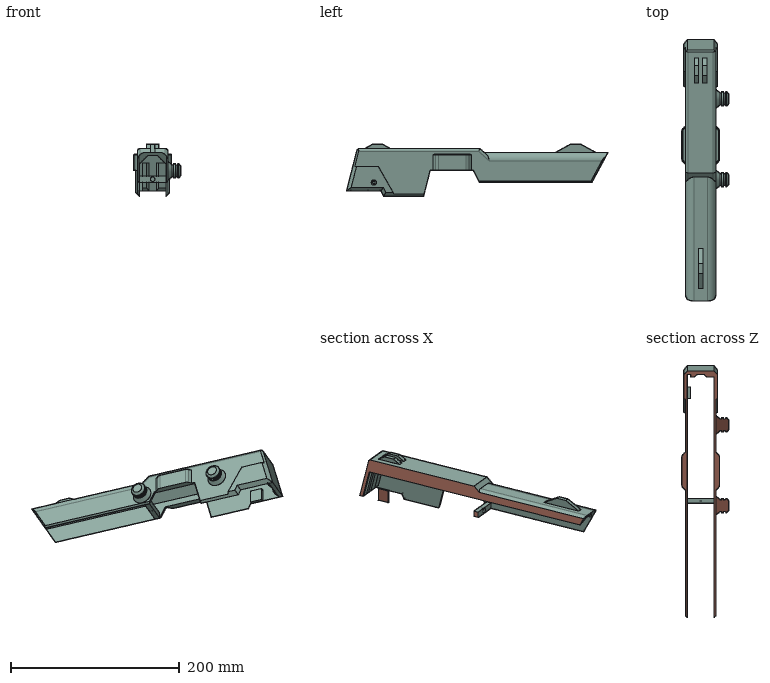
import cadquery as cq
import math


total_width = 55.75
total_length = 310.17
total_height = 61.84

rail_top = 56.75
barrel_top = 52.15
barrel_bottom = 16.6
notch_top = 30.6
rear_bottom = 6.2

barrel_bottom_front = 19.0
barrel_bottom_rear = 152.5
notch_front = 159.8
notch_rear = 210.8
grip_front = 218.6
grip_rear = 266.2
step_rear = 269.2
rail_front = 152.0
rail_slope = 1.1
half_overlap = 10.0

inner_half = 15.75
outer_half = 18.2
pad_half = 20.2
cheek_half = 22.45

rear_slope = (grip_front - notch_rear) / notch_top
rear_wall = 5.0

edge_reach = 0.1
edge_chamfer = pad_half - inner_half
barrel_chamfer = 1.8
barrel_fillet = 10.3
rail_fillet = 3.4
rear_top_bevel_run = 2.6
rear_top_bevel_drop = 1.8

cavity_floor = -1.0
cavity_top = 48.3
cavity_chamfer = 10.0

pad_top = 35.3
pad_top_front = 272.3
pad_bottom_front = 252.2

cheek_front = 162.1
cheek_rear = 207.4
cheek_top = 50.4
cheek_corner = cheek_half - outer_half
cheek_corner_fillet = 5.2
cheek_top_chamfer = 1.3

sight_crest = 12.2
front_sight_base = 47.6
rear_sight_base = 29.4
sight_width = 5.2
front_sight_y = 38.5
rear_sight_y = 273.2
rear_sight_gap = 4.6

rib_top = 39.5
rib_depth = 2.7
rib_channel_half = 4.4
left_rib_outer = 11.9

knob_places = (144.0, 239.6)
knob_z = 30.2
knob_end = total_width - cheek_half
knob_base_d = 22.4
knob_neck_d = 14.34
knob_ring_d = 17.33
knob_tip_d = 11.3
knob_cone_end = 23.2
ring_1_start = 24.6
ring_1_end = 27.0
ring_2_start = 28.8
ring_2_end = 30.9

bar_height = 7.3
bar_depth = 6.0
bar_hole_d = 5.25
bar_hole_depth = 3.0

latch_y = 277.6
latch_z = 16.3
latch_pin_d = 6.25
latch_socket_d = 3.15
latch_socket_depth = 1.5
latch_recess = 2.0
latch_thickness = 3.8
latch_length = 14.0
latch_top = 22.0


def side_prism(points, half_width):
    """Extrude a (y, z) outline to both sides of the middle plane."""
    return cq.Workplane("YZ").polyline(points).close().extrude(half_width, both=True)


def rear_y(z):
    """Y of the tilted rear face at a height."""
    return total_length - (z - rear_bottom) * rear_slope


def chamfer_side_edges(body, half_width, size, y_range, z_range):
    """Chamfer the outer side edges whose middles lie in a window of Y and Z."""
    for x in (-half_width, half_width):
        low = (x - edge_reach, y_range[0], z_range[0])
        high = (x + edge_reach, y_range[1], z_range[1])
        body = body.edges(cq.selectors.BoxSelector(low, high)).chamfer(size)
    return body


def rail_envelope():
    """Main width of the rear half, with rounded top edges and the slope down to the barrel."""
    points = [
        (rail_front, rail_top),
        (rail_front - rail_slope * rail_top, 0),
        (total_length, 0),
        (total_length, rail_top),
    ]
    body = side_prism(points, outer_half)
    return body.faces(">Z or <Y").edges("not |X").fillet(rail_fillet)


def rear_half():
    """Solid block of the rail and the grip, with the raised pads on both sides."""
    bevel_z = rail_top - rear_top_bevel_drop
    points = [
        (rail_front, rail_top),
        (rail_front - rail_slope * (rail_top - notch_top), notch_top),
        (notch_rear, notch_top),
        (grip_front, 0),
        (grip_rear, 0),
        (step_rear, rear_bottom),
        (total_length, rear_bottom),
        (rear_y(bevel_z), bevel_z),
        (rear_y(bevel_z) - rear_top_bevel_run, rail_top),
    ]
    body = side_prism(points, pad_half)
    behind_grip_front = (grip_front, total_length)
    body = chamfer_side_edges(body, pad_half, edge_chamfer, behind_grip_front, (0, bevel_z))
    pads = side_prism(
        [
            (pad_top_front, pad_top),
            (pad_bottom_front, 0),
            (total_length, 0),
            (total_length, pad_top),
        ],
        pad_half,
    )
    return body.intersect(rail_envelope().union(pads))


def front_half():
    """Solid block of the barrel, with rounded top edges and a slanted front."""
    overlap_end = notch_front + half_overlap
    points = [
        (0, barrel_top),
        (barrel_bottom_front, barrel_bottom),
        (barrel_bottom_rear, barrel_bottom),
        (notch_front, notch_top),
        (overlap_end, notch_top),
        (overlap_end, barrel_top),
    ]
    body = side_prism(points, outer_half)
    y_range = (0, barrel_bottom_rear)
    z_range = (0, (barrel_top + barrel_bottom) / 2 + edge_reach)
    body = chamfer_side_edges(body, outer_half, barrel_chamfer, y_range, z_range)
    envelope = side_prism(
        [(0, 0), (overlap_end, 0), (overlap_end, barrel_top), (0, barrel_top)], outer_half
    )
    return body.intersect(envelope.edges("|Y and >Z").fillet(barrel_fillet))


def cavity():
    """Space inside the shell, open at the bottom and the front, ending at the tilted rear wall."""
    shoulder = cavity_top - cavity_chamfer
    section = [
        (-inner_half, cavity_floor),
        (-inner_half, shoulder),
        (cavity_chamfer - inner_half, cavity_top),
        (inner_half - cavity_chamfer, cavity_top),
        (inner_half, shoulder),
        (inner_half, cavity_floor),
    ]
    tunnel = cq.Workplane("XZ").polyline(section).close().extrude(-total_length)
    return tunnel.intersect(
        side_prism(
            [
                (0, cavity_floor),
                (rear_y(cavity_floor) - rear_wall, cavity_floor),
                (rear_y(rail_top) - rear_wall, rail_top),
                (0, rail_top),
            ],
            pad_half,
        )
    )


def cheeks():
    """Bevelled blocks on both side walls above the notch."""
    length = cheek_rear - cheek_front
    block = (
        cq.Workplane("XY", origin=(0, cheek_front + length / 2, notch_top))
        .rect(2 * cheek_half, length)
        .extrude(cheek_top - notch_top)
    )
    block = block.edges("|Z").chamfer(cheek_corner)
    rounded = block.faces("<X or >X").edges("|Z").fillet(cheek_corner_fillet)
    return rounded.faces(">Z").edges("<X or >X").chamfer(cheek_top_chamfer)


def sight(x_center, y_center, base_z, base_length):
    """Trapezoid fin standing on a top face."""
    half_crest = sight_crest / 2
    half_base = base_length / 2
    points = [
        (y_center - half_base, base_z),
        (y_center + half_base, base_z),
        (y_center + half_crest, total_height),
        (y_center - half_crest, total_height),
    ]
    return side_prism(points, sight_width / 2).translate((x_center, 0, 0))


def rib(x_channel, x_outer):
    """Rib on the rear wall, bevelled at its lower end and along the central channel."""
    wall_bottom = rear_y(rear_bottom) - rear_wall
    rise = rib_top - rear_bottom
    x_bevel = x_channel + math.copysign(rib_depth, x_outer)
    section = [(x_channel, 0), (x_bevel, -rib_depth), (x_outer, -rib_depth), (x_outer, 0)]
    path_lean = -rear_slope * rise
    bar = (
        cq.Workplane("XY", origin=(0, wall_bottom, rear_bottom))
        .polyline(section)
        .close()
        .sweep(cq.Workplane("YZ").moveTo(wall_bottom, rear_bottom).line(path_lean, rise))
    )
    bevel = side_prism(
        [
            (wall_bottom, rear_bottom),
            (wall_bottom - 2 * rib_depth, rear_bottom),
            (wall_bottom - 2 * rib_depth, rear_bottom + 2 * rib_depth),
        ],
        inner_half,
    )
    return bar.cut(bevel)


def make_housing():
    """Open-bottomed shell with cheek blocks, sights, ribs and the hole for the latch pin."""
    body = rear_half().union(front_half()).union(cheeks()).cut(cavity())
    body = body.union(sight(0, front_sight_y, barrel_top, front_sight_base))
    for side in (-1, 1):
        x_center = side * (rear_sight_gap + sight_width) / 2
        body = body.union(sight(x_center, rear_sight_y, rail_top, rear_sight_base))
    body = body.union(rib(-rib_channel_half, -left_rib_outer))
    body = body.union(rib(rib_channel_half, inner_half))
    pin_hole = cq.Workplane("YZ", origin=(-pad_half, latch_y, latch_z)).circle(latch_pin_d / 2)
    return body.cut(pin_hole.extrude(pad_half - inner_half))


def make_knob(y):
    """Ribbed knob turned about X, standing on the right wall."""
    neck = knob_neck_d / 2
    ring = knob_ring_d / 2
    tip = knob_tip_d / 2
    profile = [
        (outer_half, 0),
        (outer_half, knob_base_d / 2),
        (knob_cone_end, neck),
        (ring_1_start, neck),
        (ring_1_start, ring),
        (ring_1_end, ring),
        (ring_1_end, neck),
        (ring_2_start, neck),
        (ring_2_start + ring - neck, ring),
        (ring_2_end, ring),
        (knob_end, tip),
        (knob_end, 0),
    ]
    turned = cq.Workplane("XY").polyline(profile).close().revolve(360, (0, 0, 0), (1, 0, 0))
    return turned.translate((0, y, knob_z))


def make_cross_bar():
    """Bar across the rear end of the barrel underside, with a blind hole in its front face."""
    bar = cq.Workplane("XY").box(2 * inner_half, bar_depth, bar_height)
    bar = bar.faces("<Y").workplane().hole(bar_hole_d, bar_hole_depth)
    return bar.translate((0, barrel_bottom_rear - bar_depth / 2, barrel_bottom + bar_height / 2))


def make_latch():
    """Plate inside the left wall with a pin that fills the wall hole up to a small recess."""
    plate = cq.Workplane("XY", origin=(-inner_half, latch_y, rear_bottom)).box(
        latch_thickness, latch_length, latch_top - rear_bottom, centered=(False, True, False)
    )
    pin_length = pad_half - inner_half - latch_recess
    pin = (
        cq.Workplane("YZ", origin=(-inner_half, latch_y, latch_z))
        .circle(latch_pin_d / 2)
        .extrude(-pin_length)
    )
    latch = plate.union(pin)
    pin_end = latch.faces("<X").workplane(centerOption="CenterOfMass")
    return pin_end.hole(latch_socket_d, latch_socket_depth)


housing = make_housing()
knobs = [make_knob(y) for y in knob_places]
cross_bar = make_cross_bar()
latch = make_latch()

result = cq.Compound.makeCompound(
    [housing.val(), *[knob.val() for knob in knobs], cross_bar.val(), latch.val()]
)